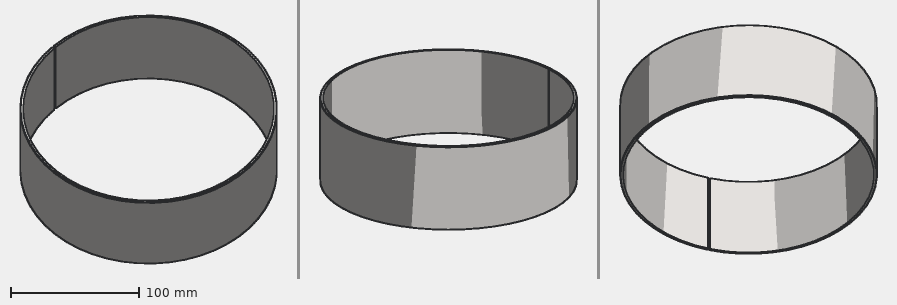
import cadquery as cq

outer_diameter = 200.0
height = 70.0
wall = 2.5
edge_chamfer = 0.5
split_angle = 1.0

outer_radius = outer_diameter / 2
inner_radius = outer_radius - wall
chamfered_radius = outer_radius - edge_chamfer


def make_wall_section():
    """Wall cross-section on the -X side, with both outer corners chamfered."""
    return (
        cq.Workplane("XZ")
        .moveTo(-inner_radius, 0)
        .lineTo(-chamfered_radius, 0)
        .lineTo(-outer_radius, edge_chamfer)
        .lineTo(-outer_radius, height - edge_chamfer)
        .lineTo(-chamfered_radius, height)
        .lineTo(-inner_radius, height)
        .close()
    )


result = make_wall_section().revolve(360 - split_angle, (0, 0, 0), (0, 1, 0))